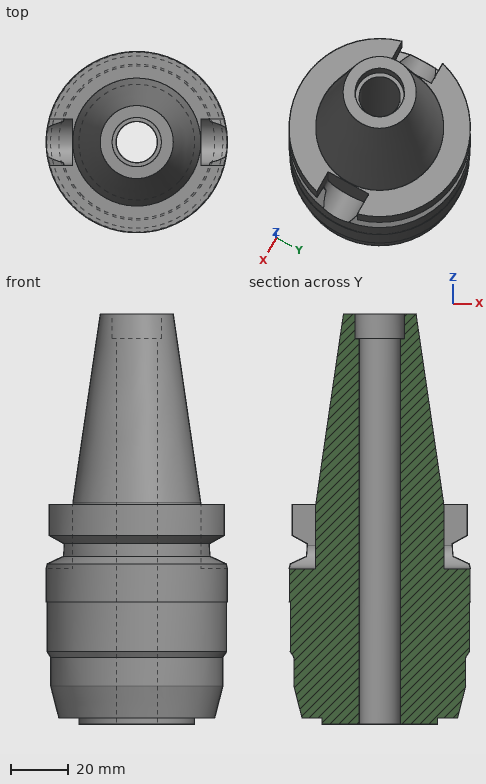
import cadquery as cq

length = 142.4
nose_top = 2.1
nut_cone_top = 13.2
nut_top = 23.2
sleeve_bottom = 25.2
sleeve_top = 42.5
rim_top = 55.7
groove_bottom = 58.2
groove_top = 62.7
flange_bottom = 65.5
flange_top = 76.3
gauge_line = 77.0

nose_radius = 20.1
nut_face_radius = 27.0
nut_radius = 29.9
sleeve_radius = 31.2
flange_radius = 31.5
groove_radius = 26.5
gauge_radius = 22.2

taper_ratio = 7 / 24
taper_end_radius = gauge_radius - (length - gauge_line) * taper_ratio / 2

bore_radius = 7.1
counterbore_radius = 8.5
counterbore_depth = 8.5

slot_width = 16.1
slot_bottom = 54.0
slot_wall_distance = 22.4


def turned_body():
    """Solid of revolution, profiled as (radius, height) from the nose upward."""
    profile = [
        (0, 0),
        (nose_radius, 0),
        (nose_radius, nose_top),
        (nut_face_radius, nose_top),
        (nut_radius, nut_cone_top),
        (nut_radius, nut_top),
        (sleeve_radius, sleeve_bottom),
        (sleeve_radius, sleeve_top),
        (flange_radius, sleeve_top),
        (flange_radius, rim_top),
        (groove_radius, groove_bottom),
        (groove_radius, groove_top),
        (flange_radius, flange_bottom),
        (flange_radius, flange_top),
        (gauge_radius, flange_top),
        (gauge_radius, gauge_line),
        (taper_end_radius, length),
        (0, length),
    ]
    return cq.Workplane("XZ").polyline(profile).close().revolve(360, (0, 0), (0, 1))


def bore():
    """Through bore along Z, joined to its counterbore."""
    through = cq.Workplane("XY").circle(bore_radius).extrude(length)
    counterbore_floor = cq.Workplane("XY").workplane(offset=length - counterbore_depth)
    return through.union(counterbore_floor.circle(counterbore_radius).extrude(counterbore_depth))


def drive_slot():
    """Cutter for the slot on the +X side, extruded outward from its inner wall."""
    half_width = slot_width / 2
    arc_start = slot_bottom + half_width
    return (
        cq.Workplane("YZ")
        .workplane(offset=slot_wall_distance)
        .moveTo(-half_width, flange_top)
        .lineTo(-half_width, arc_start)
        .threePointArc((0, slot_bottom), (half_width, arc_start))
        .lineTo(half_width, flange_top)
        .close()
        .extrude(flange_radius - slot_wall_distance)
    )


result = turned_body().cut(bore())
for angle in (0, 180):
    result = result.cut(drive_slot().rotate((0, 0, 0), (0, 0, 1), angle))